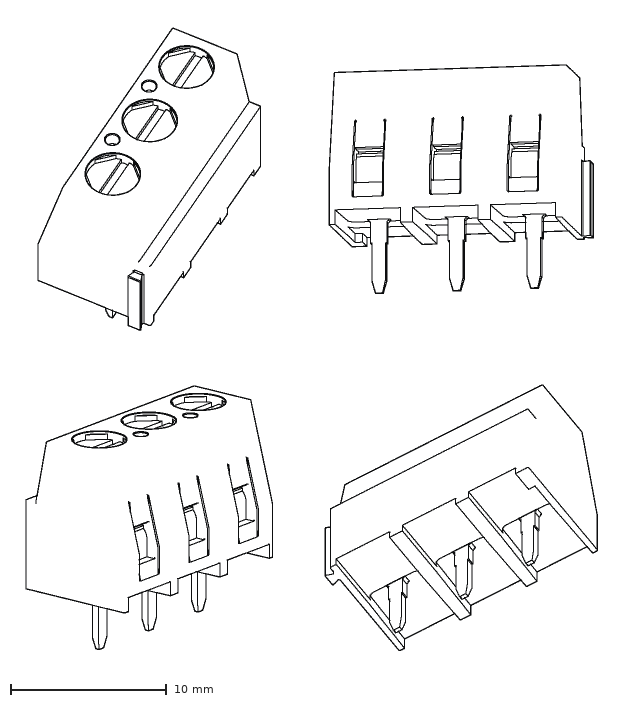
import cadquery as cq
import math


pole_count = 3
pitch = 5.07
housing_length = pole_count * pitch
housing_depth = 8.2
housing_height = 10.26
front_wall_height = 3.58
top_front_x = 1.8
top_back_x = 6.51
ledge_x = 7.38
ledge_height = 5.99
edge_round = 0.1
pole_positions = [pitch * (index + 0.5) for index in range(pole_count)]

screw_x = 4.13
recess_diameter = 3.5
recess_rim_diameter = 3.58
flats_start_depth = 0.19
recess_depth = 0.54
recess_square_side = 3.2
driver_slot_width = 0.59
driver_slot_depth = 0.3
marker_x = 2.75
marker_diameter = 0.9
marker_rim_diameter = 1.01
marker_depth = 0.95

entry_width = 1.9
entry_mouth_width = 2.05
entry_corner_round = 0.08
lead_in_bottom = 1.76
sill_x = 0.33
sill_height = 2.74
lintel_x = 0.89
lintel_bottom = 5.04
lintel_top = 6.9
lintel_round = 0.1
clamp_x = 0.97
clamp_round = 2.01 / 2
clamp_round_start = 3.88
clamp_arc_angle = math.radians(45)
clamp_top = 4.78
clamp_back_x = clamp_x + clamp_round

pin_bay_mouth_width = 4.26
pin_bay_inner_width = 4.09
pin_bay_end_x = 4.6
pin_bay_height = 0.95
pin_bay_corner = 0.55
back_opening_height = 0.57
corner_leg_x = 6.65
corner_leg_width = 0.98

pin_x = housing_depth / 2
pin_thickness = 0.5
pin_width = 0.89
pin_shoulder_width = 1.08
pin_shoulder_z = -0.6
pin_flare_z = 0.76
pin_taper_z = -3.04
pin_bottom_z = -3.83
pin_tip_width = 0.48
pin_tip_thickness = 0.27
pin_embed_z = 1.27

rail_x = 7.35
rail_projection = 0.63
rail_height = 4.88
rail_head_width = 0.98
rail_neck_width = 0.57
rail_root_width = 0.79
rail_root_length = 0.1
rail_edge_chamfer = 0.06

clearance = 0.79


def box(x_start, x_end, y_start, y_end, z_start, z_end):
    """Axis-aligned block given by its limits."""
    return (
        cq.Workplane("XY")
        .box(x_end - x_start, y_end - y_start, z_end - z_start, centered=False)
        .translate((x_start, y_start, z_start))
    )


def prism_along_y(profile, width, y_middle):
    """Extrude a closed XZ profile symmetrically about y_middle."""
    return profile.extrude(width / 2, both=True).translate((0, y_middle, 0))


def rimmed_hole(x, y, diameter, rim_diameter, depth):
    """Cutter for a blind hole in the top face with a 45-degree rim chamfer."""
    rim = (rim_diameter - diameter) / 2
    hole = cq.Workplane("XY", origin=(x, y, housing_height - depth)).circle(diameter / 2).extrude(depth)
    return hole.union(
        cq.Workplane("XY", origin=(x, y, housing_height - rim))
        .circle(diameter / 2)
        .workplane(offset=rim)
        .circle(rim_diameter / 2)
        .loft()
    )


def make_housing():
    outline = [
        (0, 0),
        (housing_depth, 0),
        (housing_depth, ledge_height),
        (ledge_x, ledge_height),
        (top_back_x, housing_height),
        (top_front_x, housing_height),
        (0, front_wall_height),
    ]
    body = cq.Workplane("XZ").polyline(outline).close().extrude(-housing_length)
    rounded = body.faces("<Y or >Y or >Z").edges("not(<Z)")
    return rounded.fillet(edge_round)


def screw_recess(y):
    """Round recess narrowing to four flats, with the driver slot in its floor."""
    upper = rimmed_hole(screw_x, y, recess_diameter, recess_rim_diameter, flats_start_depth)
    full_depth = recess_depth + driver_slot_depth
    shaft = (
        cq.Workplane("XY", origin=(screw_x, y, housing_height - full_depth))
        .circle(recess_diameter / 2)
        .extrude(full_depth)
    )
    square = (
        cq.Workplane("XY")
        .rect(recess_square_side, recess_square_side)
        .extrude(housing_height)
        .rotate((0, 0, 0), (0, 0, 1), 45)
        .translate((screw_x, y, 0))
    )
    floor_z = housing_height - recess_depth
    above_floor = box(0, housing_depth, y - pitch / 2, y + pitch / 2, floor_z, housing_height)
    half_slot = driver_slot_width / 2
    slot_start = screw_x - half_slot
    slot_end = screw_x + half_slot
    slot_band = box(slot_start, slot_end, y - pitch / 2, y + pitch / 2, 0, housing_height)
    lower = shaft.intersect(square).intersect(above_floor.union(slot_band))
    return upper.union(lower)


def entry_profile():
    """Wire entry in XZ: sloped lead-in, sill and the back face under the lintel."""
    lead_in_run = sill_x * clearance / (sill_height - lead_in_bottom)
    return (
        cq.Workplane("XZ")
        .moveTo(-lead_in_run, lead_in_bottom - clearance)
        .lineTo(sill_x, sill_height)
        .lineTo(lintel_x, sill_height)
        .lineTo(lintel_x, housing_height)
        .lineTo(-lead_in_run, housing_height)
        .close()
    )


def clamp_arc_point(angle):
    """Point of the clamp's rounded front edge, measured up from its vertical face."""
    x = clamp_x + clamp_round * (1 - math.cos(angle))
    z = clamp_round_start + clamp_round * math.sin(angle)
    return x, z


def clamp_gap_profile():
    """Space behind the lintel, bounded by the rounded top of the wire clamp."""
    arc_middle_x, arc_middle_z = clamp_arc_point(clamp_arc_angle / 2)
    arc_end_x, arc_end_z = clamp_arc_point(clamp_arc_angle)
    return (
        cq.Workplane("XZ")
        .moveTo(sill_x, sill_height)
        .lineTo(clamp_x, sill_height)
        .lineTo(clamp_x, clamp_round_start)
        .threePointArc((arc_middle_x, arc_middle_z), (arc_end_x, arc_end_z))
        .lineTo(arc_end_x, clamp_top)
        .lineTo(clamp_back_x, clamp_top)
        .lineTo(clamp_back_x, lintel_bottom)
        .lineTo(lintel_x + lintel_round, lintel_bottom)
        .lineTo(lintel_x, lintel_bottom + lintel_round)
        .lineTo(sill_x, lintel_bottom + lintel_round)
        .close()
    )


def entry_mouth(y):
    """Air in front of the housing, reaching inside the entry so that it bevels its side edges."""
    bevel = (entry_mouth_width - entry_width) / 2
    slope_angle = math.atan2(top_front_x, housing_height - front_wall_height)
    bend_z = front_wall_height - bevel * math.tan(slope_angle / 2)
    top_z = lintel_top + bevel * math.sin(slope_angle)
    top_x = bevel + (top_z - bend_z) * math.tan(slope_angle)
    profile = [
        (-clearance, lead_in_bottom),
        (bevel, lead_in_bottom),
        (bevel, bend_z),
        (top_x, top_z),
        (-clearance, top_z),
    ]
    half = (
        cq.Workplane("XZ", origin=(0, y - entry_width / 2, 0))
        .polyline(profile)
        .close()
        .extrude(bevel, taper=45)
    )
    return half.union(half.mirror("XZ", (0, y, 0)))


def wire_entry(y):
    opening = prism_along_y(entry_profile(), entry_width, y)
    opening = opening.faces("<Y or >Y").edges().fillet(entry_corner_round)
    opening = opening.union(prism_along_y(clamp_gap_profile(), entry_width, y))
    return opening.union(entry_mouth(y))


def underside_openings(y):
    """Pin bay open to the front, and the lower opening through the back."""
    half_mouth = pin_bay_mouth_width / 2
    half_inner = pin_bay_inner_width / 2
    plan = [
        (0, -half_mouth),
        (pin_bay_end_x, -half_inner),
        (pin_bay_end_x, half_inner),
        (0, half_mouth),
    ]
    bay = cq.Workplane("XY", origin=(0, y, 0)).polyline(plan).close().extrude(pin_bay_height)
    bay = bay.edges(">X and |Z").fillet(pin_bay_corner)
    back = box(pin_x, housing_depth, y - half_inner, y + half_inner, 0, back_opening_height)
    corner_leg = box(
        corner_leg_x, housing_depth,
        housing_length - corner_leg_width, housing_length, 0, back_opening_height,
    )
    return bay.union(back).cut(corner_leg)


def solder_pin(y):
    half_embed = pin_shoulder_width / 2 + pin_embed_z - pin_flare_z
    half_outline = [
        (pin_width / 2, pin_taper_z),
        (pin_width / 2, pin_shoulder_z),
        (pin_shoulder_width / 2, pin_shoulder_z),
        (pin_shoulder_width / 2, pin_flare_z),
        (half_embed, pin_embed_z),
    ]
    mirrored = [(-across, z) for across, z in reversed(half_outline)]
    blade = (
        cq.Workplane("YZ", origin=(pin_x - pin_thickness / 2, y, 0))
        .polyline(half_outline + mirrored)
        .close()
        .extrude(pin_thickness)
    )
    tip = (
        cq.Workplane("XY", origin=(pin_x, y, pin_bottom_z))
        .rect(pin_tip_thickness, pin_tip_width)
        .workplane(offset=pin_taper_z - pin_bottom_z)
        .rect(pin_thickness, pin_width)
        .loft()
    )
    return blade.union(tip)


def dovetail_rail():
    half_outline = [
        (rail_root_width / 2, edge_round),
        (rail_root_width / 2, 0),
        (rail_neck_width / 2, -rail_root_length),
        (rail_head_width / 2, -rail_projection),
    ]
    mirrored = [(-across, y) for across, y in reversed(half_outline)]
    rail = (
        cq.Workplane("XY", origin=(rail_x, 0, 0))
        .polyline(half_outline + mirrored)
        .close()
        .extrude(rail_height)
    )
    rail = rail.faces("<Y").edges("not(<Z)").chamfer(rail_edge_chamfer)
    top_gusset = (
        cq.Workplane("YZ", origin=(rail_x, 0, 0))
        .moveTo(edge_round, rail_height)
        .lineTo(-rail_root_length, rail_height)
        .lineTo(0, rail_height + rail_root_length)
        .lineTo(edge_round, rail_height + rail_root_length)
        .close()
        .extrude(rail_neck_width / 2, both=True)
    )
    return rail.union(top_gusset)


result = make_housing().union(dovetail_rail())
for pole_y in pole_positions:
    result = result.cut(screw_recess(pole_y))
    result = result.cut(wire_entry(pole_y))
    result = result.cut(underside_openings(pole_y))
    result = result.union(solder_pin(pole_y))
for pole_y in pole_positions[:-1]:
    result = result.cut(
        rimmed_hole(marker_x, pole_y + pitch / 2, marker_diameter, marker_rim_diameter, marker_depth)
    )